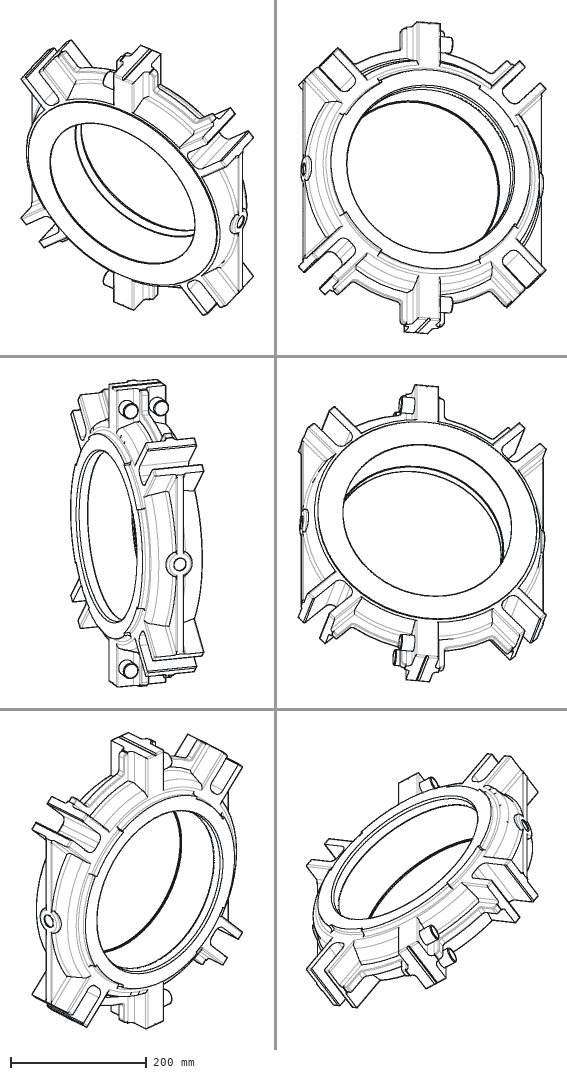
import cadquery as cq
import math

HALF_WIDTH = 181.5
HALF_HEIGHT = 228.5
FRONT_Y = -45.3
COLLAR_Y = 45.0
BODY_FRONT_Y = -43.0
BODY_BACK_Y = 35.0
BODY_MID_Y = (BODY_FRONT_Y + BODY_BACK_Y) / 2
BODY_DEPTH = BODY_BACK_Y - BODY_FRONT_Y

BORE_RADIUS = 254.0 / 2
RELIEF_RADIUS = 257.5 / 2
RELIEF_START_Y = -43.0
RELIEF_END_Y = 27.0
REAR_CHAMFER_DEPTH = 4.0
REAR_CHAMFER_WIDTH = 2.0
LIP_RADIUS = 330.0 / 2
DRUM_END_RADIUS = 169.5
DRUM_MID_RADIUS = 178.0
DRUM_BACK_ROUND = 9.0
COLLAR_RADIUS = 149.0
COLLAR_OVERLAP = 2.5
LOBE_RADIUS = 152.5
COLLAR_FILLET = 2.5
LOBE_FILLET = 5.0
LOBE_ANGLE = 60.0

WEB_RADIUS = 195.5
WEB_THICKNESS = 12.0
WEB_ROOT_FILLET = 4.0
WEB_EDGE_FILLET = 1.5
WEB_FLAT_HALF_HEIGHT = 137.0

ROOT_RADIUS = 160.0
BAR_EDGE = 2.5

ARM_TIP = 226.0
ARM_CORNER = 2.5
SLOT_HALF_WIDTH = 15.75
SLOT_BOTTOM = 168.5
SLOT_FILLET = 11.0
SLOT_MOUTH_CHAMFER = 2.0
ARM_PLATE_OUTER = 29.0
ARM_WEB_OUTER = 42.5
ARM_TEE_FILLET = 4.0

BLOCK_HALF_WIDTH = 18.0
BLOCK_TEE_FILLET = 7.0
RIDGE_HALF_WIDTH = 33.0
RIDGE_CORNER = 6.0
RIDGE_DROP = 2.0
RIDGE_FOOT_FILLET = 5.5
GROOVE_WIDTH = 5.0

BOLT_DIAMETER = 24.0
BOLT_END_X = -38.0
BOLT_Z = 200.0
BOLT_SPACING = 48.0
BOLT_CHAMFER = 1.5

BOSS_RADIUS = 20.0
BOSS_ROUND = 3.0
BOSS_HOLE_DIAMETER = 19.0
BOSS_HOLE_DEPTH = 2.0

DIAGONAL_ANGLES = (45, 135, 225, 315)
BLOCK_ANGLES = (90, 270)


def turned(shape, angle):
    """Shape made along +X, turned about the ring axis."""
    return shape.rotate((0, 0, 0), (0, 1, 0), angle)


def drum():
    """Drum tapering both ways from the web, with a lip in front and a fillet up to the web."""
    half_web = WEB_THICKNESS / 2
    slope = (DRUM_MID_RADIUS - DRUM_END_RADIUS) / (BODY_DEPTH / 2)
    round_y = BODY_BACK_Y - DRUM_BACK_ROUND
    round_radius = DRUM_END_RADIUS + slope * DRUM_BACK_ROUND
    sag = WEB_ROOT_FILLET * (1 - math.sqrt(0.5))
    web_front = BODY_MID_Y - half_web
    web_back = BODY_MID_Y + half_web
    fillet_top = DRUM_MID_RADIUS + WEB_ROOT_FILLET
    corner = DRUM_BACK_ROUND * math.sqrt(0.5)
    return (
        cq.Workplane("XY")
        .moveTo(BORE_RADIUS, FRONT_Y)
        .lineTo(LIP_RADIUS, FRONT_Y)
        .lineTo(LIP_RADIUS, BODY_FRONT_Y)
        .lineTo(DRUM_END_RADIUS, BODY_FRONT_Y)
        .lineTo(DRUM_MID_RADIUS, web_front - WEB_ROOT_FILLET)
        .threePointArc((DRUM_MID_RADIUS + sag, web_front - sag), (fillet_top, web_front))
        .lineTo(fillet_top, web_back)
        .threePointArc(
            (DRUM_MID_RADIUS + sag, web_back + sag), (DRUM_MID_RADIUS, web_back + WEB_ROOT_FILLET)
        )
        .lineTo(round_radius, round_y)
        .threePointArc(
            (round_radius - DRUM_BACK_ROUND + corner, round_y + corner),
            (round_radius - DRUM_BACK_ROUND, BODY_BACK_Y),
        )
        .lineTo(BORE_RADIUS, BODY_BACK_Y)
        .close()
        .revolve(360, (0, 0, 0), (0, 1, 0))
    )


def flared_disc(radius, fillet):
    """Disc behind the drum with a foot fillet on the drum's rear face."""
    sag = fillet * (1 - math.sqrt(0.5))
    return (
        cq.Workplane("XY")
        .moveTo(0, BODY_BACK_Y - COLLAR_OVERLAP)
        .lineTo(radius + fillet, BODY_BACK_Y - COLLAR_OVERLAP)
        .lineTo(radius + fillet, BODY_BACK_Y)
        .threePointArc((radius + sag, BODY_BACK_Y + sag), (radius, BODY_BACK_Y + fillet))
        .lineTo(radius, COLLAR_Y)
        .lineTo(0, COLLAR_Y)
        .close()
        .revolve(360, (0, 0, 0), (0, 1, 0))
    )


def collar():
    """Rear collar with four slightly raised lobes centred on the X and Z axes."""
    reach = 2 * LOBE_RADIUS
    spread = reach * math.tan(math.radians(LOBE_ANGLE / 2))
    wedge = (
        cq.Workplane("XZ", origin=(0, BODY_MID_Y, 0))
        .polyline([(0, 0), (reach, -spread), (reach, spread)])
        .close()
        .extrude(-BODY_DEPTH)
    )
    lobe = flared_disc(LOBE_RADIUS, LOBE_FILLET).intersect(wedge)
    ring = flared_disc(COLLAR_RADIUS, COLLAR_FILLET)
    for angle in (0, 90, 180, 270):
        ring = ring.union(turned(lobe, angle))
    return ring


def bore():
    """Through bore, relieved along its middle and chamfered at the rear."""
    chamfer_y = COLLAR_Y - REAR_CHAMFER_DEPTH
    return (
        cq.Workplane("XY")
        .moveTo(0, FRONT_Y - 4.5)
        .lineTo(BORE_RADIUS, FRONT_Y - 4.5)
        .lineTo(BORE_RADIUS, RELIEF_START_Y)
        .lineTo(RELIEF_RADIUS, RELIEF_START_Y)
        .lineTo(RELIEF_RADIUS, RELIEF_END_Y)
        .lineTo(BORE_RADIUS, RELIEF_END_Y)
        .lineTo(BORE_RADIUS, chamfer_y)
        .lineTo(BORE_RADIUS + REAR_CHAMFER_WIDTH, COLLAR_Y)
        .lineTo(0, COLLAR_Y)
        .close()
        .revolve(360, (0, 0, 0), (0, 1, 0))
    )


def web():
    """Central plate: ring, flat sides, diagonal arm webs and block ridges."""
    plane = cq.Workplane("XZ", origin=(0, BODY_MID_Y, 0))
    half = WEB_THICKNESS / 2
    shape = plane.circle(WEB_RADIUS).extrude(half, both=True)
    ridge = plane.rect(2 * RIDGE_HALF_WIDTH, 2 * (HALF_HEIGHT - RIDGE_DROP)).extrude(half, both=True)
    ridge = ridge.edges("|Y").fillet(RIDGE_CORNER)
    shape = shape.union(ridge)
    for turn in (45, -45):
        bar = plane.rect(2 * (ARM_TIP - WEB_EDGE_FILLET), 2 * ARM_WEB_OUTER).extrude(half, both=True)
        bar = bar.edges("|Y").fillet(ARM_CORNER)
        shape = shape.union(bar.rotate((0, 0, 0), (0, 1, 0), turn))
    feet = cq.selectors.BoxSelector((-146.5, -91.5, -205.7), (146.5, 91.5, 205.7))
    shape = shape.edges("|Y").edges(feet).fillet(RIDGE_FOOT_FILLET)
    shape = shape.union(plane.rect(2 * HALF_WIDTH, 2 * WEB_FLAT_HALF_HEIGHT).extrude(half, both=True))
    sides = cq.Workplane("XY").box(2 * HALF_WIDTH, 274.5, 2 * HALF_HEIGHT)
    shape = shape.intersect(sides)
    return shape.faces("<Y or >Y").edges().fillet(WEB_EDGE_FILLET)


def double_tee(root, tip, half_width, fillet):
    """Full-depth bar along +X with rounded edges, flared into the web on both sides."""
    plane = cq.Workplane("YZ", origin=(root, BODY_MID_Y, 0))
    length = tip - root
    bar = plane.rect(BODY_DEPTH, 2 * half_width).extrude(length)
    bar = bar.union(plane.rect(WEB_THICKNESS, 2 * (half_width + 1.1 * fillet)).extrude(length))
    nook = cq.selectors.BoxSelector(
        (root, BODY_MID_Y - WEB_THICKNESS, -half_width - 0.5),
        (tip, BODY_MID_Y + WEB_THICKNESS, half_width + 0.5),
    )
    bar = bar.edges("|X").edges(nook).fillet(fillet)
    return bar.faces("<Y or >Y").edges("|X or >X").fillet(BAR_EDGE)


def slot():
    """Open slot along +X with rounded bottom corners, through the full depth."""
    plane = cq.Workplane("XZ", origin=(0, BODY_MID_Y, 0))
    mouth = SLOT_HALF_WIDTH + SLOT_MOUTH_CHAMFER
    channel = (
        plane.moveTo(SLOT_BOTTOM, -SLOT_HALF_WIDTH)
        .lineTo(ARM_TIP - SLOT_MOUTH_CHAMFER, -SLOT_HALF_WIDTH)
        .lineTo(ARM_TIP, -mouth)
        .lineTo(ARM_TIP + 4.5, -mouth)
        .lineTo(ARM_TIP + 4.5, mouth)
        .lineTo(ARM_TIP, mouth)
        .lineTo(ARM_TIP - SLOT_MOUTH_CHAMFER, SLOT_HALF_WIDTH)
        .lineTo(SLOT_BOTTOM, SLOT_HALF_WIDTH)
        .close()
        .extrude(BODY_DEPTH, both=True)
    )
    return channel.edges("|Y and <X").fillet(SLOT_FILLET)


def groove():
    """Shallow V-groove across the outer end of a block lying along +X."""
    half = GROOVE_WIDTH / 2
    return (
        cq.Workplane("XZ", origin=(HALF_HEIGHT, BODY_MID_Y, 0))
        .polyline([(-half, 0), (half, -2 * half), (half, 2 * half)])
        .close()
        .extrude(BODY_DEPTH, both=True)
    )


def bolt_head(y, z):
    """Bolt head standing out of the -X side of a block."""
    return (
        cq.Workplane("YZ", origin=(BOLT_END_X, y, z))
        .circle(BOLT_DIAMETER / 2)
        .extrude(-BOLT_END_X)
        .faces("<X")
        .chamfer(BOLT_CHAMFER)
    )


def side_boss():
    """Round boss on the +X side of the web."""
    return (
        cq.Workplane("YZ", origin=(ROOT_RADIUS, BODY_MID_Y, 0))
        .circle(BOSS_RADIUS)
        .extrude(HALF_WIDTH - ROOT_RADIUS)
        .faces(">X")
        .edges()
        .fillet(BOSS_ROUND)
    )


def boss_hole():
    """Blind hole in the +X side boss."""
    return (
        cq.Workplane("YZ", origin=(HALF_WIDTH - BOSS_HOLE_DEPTH, BODY_MID_Y, 0))
        .circle(BOSS_HOLE_DIAMETER / 2)
        .extrude(2 * BOSS_HOLE_DEPTH)
    )


arm = double_tee(ROOT_RADIUS, ARM_TIP, ARM_PLATE_OUTER, ARM_TEE_FILLET)
block = double_tee(ROOT_RADIUS, HALF_HEIGHT, BLOCK_HALF_WIDTH, BLOCK_TEE_FILLET)
result = web()
for angle in DIAGONAL_ANGLES:
    result = result.union(turned(arm, angle))
for angle in BLOCK_ANGLES:
    result = result.union(turned(block, angle))
result = result.union(drum()).union(collar())

result = result.intersect(cq.Workplane("XY").box(2 * HALF_WIDTH, 2 * BODY_DEPTH, 2 * HALF_HEIGHT))
for angle in DIAGONAL_ANGLES:
    result = result.cut(turned(slot(), angle))
for angle in BLOCK_ANGLES:
    result = result.cut(turned(groove(), angle))

for bolt_z in (-BOLT_Z, BOLT_Z):
    for offset in (-BOLT_SPACING / 2, BOLT_SPACING / 2):
        result = result.union(bolt_head(BODY_MID_Y + offset, bolt_z))

for angle in (0, 180):
    result = result.union(turned(side_boss(), angle)).cut(turned(boss_hole(), angle))

result = result.cut(bore())